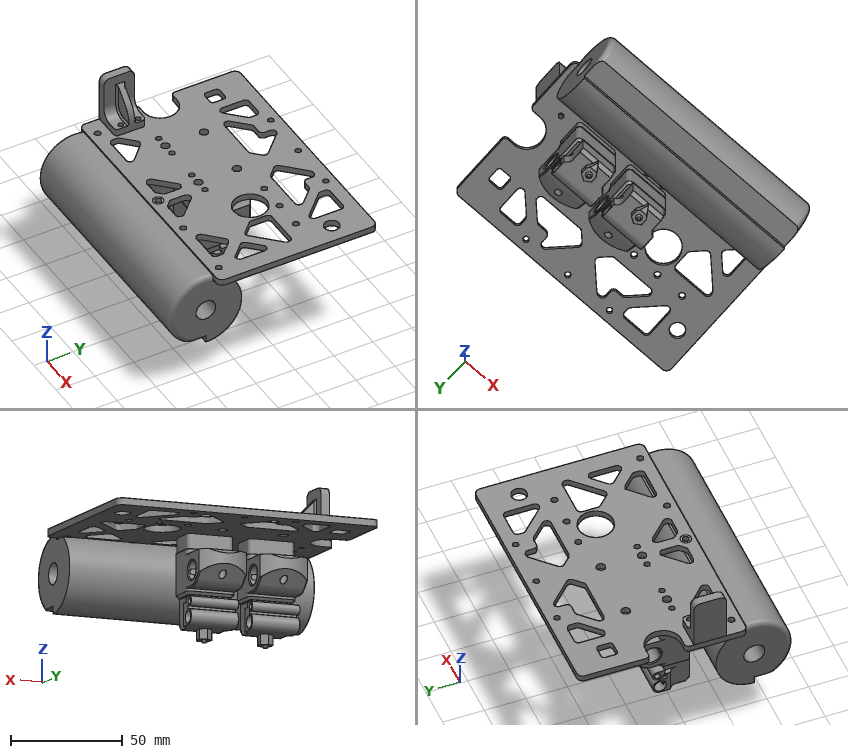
import cadquery as cq
import math


PLATE_X = 127.0
PLATE_Y = 81.3
PLATE_T = 3.2
PLATE_CORNER_R = 3.0
MID_X = PLATE_X / 2
SLOT_R = 2.0
WINDOW_TOP = 74.7
FRONT_WINDOW_Y = 6.1
PORT_Y = 38.5
NOTCH_R = 8.6
NOTCH_CENTER_X = 5.5
NOTCH_MOUTH_R = 1.9
PORT_X = 87.0
PORT_D = 16.6
CORNER_OPENING_Y = 63.2
SQUARE_X = 11.3
SQUARE_SIDE = 7.7
SQUARE_R = 1.5
ROUND_X = 117.2
ROUND_D = 7.4
REAR_HOLE_Y = 76.5
REAR_HOLE_PITCH = 24.9
REAR_HOLE_D = 2.8
SIDE_HOLE_XS = (79.5, 93.5, 108.2)
SIDE_HOLE_Y = 49.9
SIDE_HOLE_D = 3.0
FRONT_HOLE_Y = 4.6
FRONT_HOLE_XS = (8.6, 86.1, PLATE_X - 8.6)
FRONT_HOLE_D = 3.0

BUSHING_D = 5.1
BUSHING_BORE_D = 3.0

ROLLER_X = 2.3
ROLLER_LENGTH = 119.4
ROLLER_R = 18.4
ROLLER_Y = -4.0
ROLLER_Z = -18.7
ROLLER_BORE_D = 10.0
ROLLER_END_R = 2.5
FLAT_OFFSET = 14.9

BRACKET_X = 14.7
BRACKET_Y = 10.3
BRACKET_WIDTH = 15.7
BRACKET_HEIGHT = 24.9
WALL_T = 4.2
FOOT_T = 3.7
WALL_CORNER_R = 3.4
FOOT_CORNER_R = 1.9
BEND_R = 5.5
RIB_Y = 18.8
RIB_T = 3.0
RIB_TOP = 20.1
RIB_NOSE_R = 12.7
RIB_WELD = 0.9
BRACKET_HOLE_X = 12.5
BRACKET_HOLE_SPACING = 8.9
BRACKET_HOLE_D = 2.5

SENSOR_X = 31.2
SENSOR_PITCH = 29.8
SENSOR_COUNT = 2
SENSOR_FRONT = 19.3
CAP_DEPTH = 14.4
CAP_INSET = 0.4
CAP_BOTTOM = -10.2
SENSOR_CORNER_R = 2.0
SENSOR_HALF_X = 11.5
BODY_SETBACK = 0.3
BODY_BACK = 34.0
BODY_BOTTOM = -30.7
BODY_CHAMFER = 1.3
CORE_DEPTH = 12.8
CORE_BOTTOM = -45.0
CORE_CHAMFER = 2.0
CORE_HALF_X = 9.1
TAIL_TOP = -12.7
TAIL_BACK = 50.5
TAIL_END_BULGE = 4.2
TAIL_TOP_CHAMFER = 1.7
BORE_Y = 38.2
BORE_Z = -20.7
BORE_D = 8.8
BORE_CHAMFER = 0.5
BORE_BOSS_R = 7.6
LUG_HOLE_D = 3.3
LUG_CLEARANCE_D = 4.2
LUG_HOLE_Y = TAIL_BACK - TAIL_END_BULGE
MOUNT_Y = 26.5
MOUNT_SPACING = 12.0
MOUNT_CLEARANCE_D = 2.8
PILOT_D = 2.0
PILOT_DEPTH = 5.1
ACCESS_D = 4.1
CLIP_SETBACK = 6.6
CLIP_FRONT_R = 3.8
CLIP_TOP = -34.4
LOOP_LARGE = (34.3, -41.3, 7.4, 6.0)
LOOP_SMALL = (35.7, -34.4, 4.6, 2.8)
DIMPLE_Y = 32.3
DIMPLE_Z = -36.1
DIMPLE_D = 2.5
DIMPLE_DEPTH = 2.5
NUB_HALF_X = 3.0
NUB_SIDE_FRONT = 24.3
NUB_SIDE_BACK = 27.4
NUB_BACK = 29.3
NUB_SLANT = 3.3
NUB_BOTTOM = -49.7
TIP_Y = 25.8
TIP_BOTTOM = -50.8
TIP_TOP_D = 3.0
TIP_END_D = 1.5

MARGIN = 0.1

SENSOR_XS = [SENSOR_X + i * SENSOR_PITCH for i in range(SENSOR_COUNT)]


def box(x0, x1, y0, y1, z0, z1):
    """Block between two limits on each axis."""
    return cq.Workplane("XY").box(x1 - x0, y1 - y0, z1 - z0, centered=False).translate((x0, y0, z0))


def drill(points, diameter, top, depth):
    """Vertical round cutters going down from `top`."""
    return cq.Workplane("XY").workplane(offset=top).pushPoints(points).circle(diameter / 2).extrude(-depth)


def pointed_drill(diameter, depth):
    """Blind drill cutter from the origin down, with a 45 degree point."""
    radius = diameter / 2
    return (
        cq.Workplane("XZ").lineTo(radius, 0).lineTo(radius, radius - depth).lineTo(0, -depth).close()
        .revolve(360, (0, 0, 0), (0, 1, 0))
    )


def rod_x(x0, length, y, z, diameter):
    """Round bar lying along X."""
    return cq.Workplane("YZ").workplane(offset=x0).center(y, z).circle(diameter / 2).extrude(length)


def mirrored(points):
    """Points reflected across the plate's middle line."""
    return [(PLATE_X - x, y) for x, y in points]


def window(points):
    """Cutter for one rounded lightening window."""
    return cq.Workplane("XY").polyline(points).close().extrude(-PLATE_T).edges("|Z").fillet(SLOT_R)


def bracket_hole_points():
    return [(BRACKET_HOLE_X, RIB_Y + s * BRACKET_HOLE_SPACING / 2) for s in (-1, 1)]


def window_outlines():
    waist = 67.8
    low = 56.6
    shoulder = [(67.2, 62.5), (73.0, low), (97.3, low), (97.3, 59.7), (89.2, waist)]
    rear_right = shoulder + [(82.9, waist), (82.9, WINDOW_TOP), (79.4, WINDOW_TOP)]
    rear_left = mirrored(shoulder) + [(44.8, waist), (44.8, 77.5)]
    corner_left = [(20.3, WINDOW_TOP), (32.3, WINDOW_TOP), (32.3, 69.0), (20.3, 57.0)]
    corner_right = [(94.0, WINDOW_TOP), (109.1, WINDOW_TOP), (109.1, 54.7), (94.0, 69.8)]
    kite = [(96.6, 43.0), (117.6, 43.0), (117.6, 39.8), (103.6, 25.8), (96.6, 32.8)]
    triangle = [(118.0, 33.1), (118.0, 11.8), (107.3, 22.5)]
    front_outer = [(16.0, FRONT_WINDOW_Y), (16.0, 11.0), (23.6, 18.7), (33.5, 9.0), (33.5, FRONT_WINDOW_Y)]
    front_inner = [(61.0, 21.6), (61.0, 9.1), (57.9, FRONT_WINDOW_Y), (48.5, FRONT_WINDOW_Y), (48.5, 9.1)]
    return [
        rear_right, rear_left, corner_left, corner_right, kite, triangle,
        front_outer, mirrored(front_outer), front_inner, mirrored(front_inner),
    ]


def make_plate():
    plate = box(0, PLATE_X, 0, PLATE_Y, -PLATE_T, 0).edges("|Z").fillet(PLATE_CORNER_R)

    notch = box(0, NOTCH_CENTER_X, PORT_Y - NOTCH_R, PORT_Y + NOTCH_R, -PLATE_T, 0)
    plate = plate.cut(notch.union(drill([(NOTCH_CENTER_X, PORT_Y)], 2 * NOTCH_R, 0, PLATE_T)))
    mouth = cq.selectors.BoxSelector(
        (-MARGIN, PORT_Y - NOTCH_R - MARGIN, -PLATE_T), (MARGIN, PORT_Y + NOTCH_R + MARGIN, 0)
    )
    plate = plate.edges("|Z").edges(mouth).fillet(NOTCH_MOUTH_R)

    for outline in window_outlines():
        plate = plate.cut(window(outline))
    half = SQUARE_SIDE / 2
    square = box(-half, half, -half, half, -PLATE_T, 0).edges("|Z").fillet(SQUARE_R)
    plate = plate.cut(square.translate((SQUARE_X, CORNER_OPENING_Y, 0)))

    hole_groups = [
        ([(PORT_X, PORT_Y)], PORT_D),
        ([(ROUND_X, CORNER_OPENING_Y)], ROUND_D),
        ([(MID_X + i * REAR_HOLE_PITCH, REAR_HOLE_Y) for i in (-1, 0, 1)], REAR_HOLE_D),
        ([(x, SIDE_HOLE_Y) for x in SIDE_HOLE_XS], SIDE_HOLE_D),
        ([(x, FRONT_HOLE_Y) for x in FRONT_HOLE_XS], FRONT_HOLE_D),
        ([(MID_X, FRONT_HOLE_Y)], BUSHING_D),
        (bracket_hole_points(), BRACKET_HOLE_D),
        ([(x, LUG_HOLE_Y) for x in SENSOR_XS], LUG_CLEARANCE_D),
        ([(x, MOUNT_Y) for x in SENSOR_XS], ACCESS_D),
        ([(x + s * MOUNT_SPACING / 2, MOUNT_Y) for x in SENSOR_XS for s in (-1, 1)], MOUNT_CLEARANCE_D),
    ]
    for points, diameter in hole_groups:
        plate = plate.cut(drill(points, diameter, 0, PLATE_T))
    return plate


def make_bushing():
    return (
        cq.Workplane("XY").center(MID_X, FRONT_HOLE_Y)
        .circle(BUSHING_D / 2).circle(BUSHING_BORE_D / 2).extrude(-PLATE_T)
    )


def make_roller():
    x_end = ROLLER_X + ROLLER_LENGTH
    bottom = ROLLER_Z - ROLLER_R
    step_z = ROLLER_Z - FLAT_OFFSET
    seat_z = ROLLER_Z + FLAT_OFFSET
    front = ROLLER_Y - ROLLER_R
    plain = rod_x(ROLLER_X, ROLLER_LENGTH, ROLLER_Y, ROLLER_Z, 2 * ROLLER_R)
    rounded = plain.faces("<X or >X").edges().fillet(ROLLER_END_R)

    front_zone = box(ROLLER_X, x_end, front, 0, step_z, 0)
    roller = plain.cut(front_zone).union(rounded.intersect(front_zone))
    roller = roller.cut(box(ROLLER_X, x_end, front, ROLLER_Y, bottom, step_z))
    roller = roller.cut(box(ROLLER_X, x_end, 0, PLATE_Y, seat_z, 0))
    return roller.cut(rod_x(ROLLER_X, ROLLER_LENGTH, ROLLER_Y, ROLLER_Z, ROLLER_BORE_D))


def make_bracket():
    y_end = BRACKET_Y + BRACKET_WIDTH
    wall = box(0, WALL_T, BRACKET_Y, y_end, 0, BRACKET_HEIGHT).edges("|X and >Z").fillet(WALL_CORNER_R)
    foot = box(0, BRACKET_X, BRACKET_Y, y_end, 0, FOOT_T).edges("|Z and >X").fillet(FOOT_CORNER_R)
    bracket = wall.union(foot)
    inner = cq.selectors.BoxSelector(
        (WALL_T - MARGIN, BRACKET_Y, FOOT_T - MARGIN), (WALL_T + MARGIN, y_end, FOOT_T + MARGIN)
    )
    bracket = bracket.edges("|Y").edges(inner).fillet(BEND_R)

    nose_x = BRACKET_X - RIB_NOSE_R
    lean = RIB_NOSE_R * math.sqrt(0.5)
    slope_end = nose_x + lean
    slope_end_z = RIB_TOP - (slope_end - WALL_T)
    nose_z = slope_end_z - lean
    mid = math.pi / 8
    flank = RIB_T / 2 + RIB_WELD
    rib = (
        cq.Workplane("XZ", origin=(0, RIB_Y, 0))
        .moveTo(WALL_T / 2, FOOT_T / 2).lineTo(WALL_T / 2, RIB_TOP).lineTo(WALL_T, RIB_TOP)
        .lineTo(slope_end, slope_end_z)
        .threePointArc(
            (nose_x + RIB_NOSE_R * math.cos(mid), nose_z + RIB_NOSE_R * math.sin(mid)), (BRACKET_X, nose_z)
        )
        .lineTo(BRACKET_X, FOOT_T / 2).close().extrude(flank, both=True)
    )

    bend_dip = BEND_R * (1 - math.sqrt(0.5))
    beside = (
        cq.Workplane("XZ", origin=(0, RIB_Y + flank, 0))
        .moveTo(WALL_T, FOOT_T + BEND_R)
        .threePointArc((WALL_T + bend_dip, FOOT_T + bend_dip), (WALL_T + BEND_R, FOOT_T))
        .lineTo(2 * BRACKET_X, FOOT_T).lineTo(2 * BRACKET_X, BRACKET_HEIGHT).lineTo(WALL_T, BRACKET_HEIGHT)
        .close().extrude(RIB_WELD, taper=45)
    )
    rib = rib.cut(beside).cut(beside.mirror("XZ", (0, RIB_Y, 0)))
    bracket = bracket.union(rib)
    return bracket.cut(drill(bracket_hole_points(), BRACKET_HOLE_D, FOOT_T, FOOT_T))


def sensor_tail():
    """Rear lug with the cross bore, rounded below the bore and sloping up to the back."""
    lean = BORE_BOSS_R * math.sqrt(0.5)
    slope_z = BORE_Z - lean + (TAIL_BACK - BORE_Y - lean)
    mid = math.pi * 3 / 8
    start = SENSOR_FRONT + CAP_DEPTH / 2
    tail = (
        cq.Workplane("YZ", origin=(-SENSOR_HALF_X, 0, 0))
        .moveTo(start, TAIL_TOP).lineTo(TAIL_BACK - TAIL_TOP_CHAMFER, TAIL_TOP)
        .lineTo(TAIL_BACK, TAIL_TOP - TAIL_TOP_CHAMFER).lineTo(TAIL_BACK, slope_z)
        .lineTo(BORE_Y + lean, BORE_Z - lean)
        .threePointArc(
            (BORE_Y + BORE_BOSS_R * math.cos(mid), BORE_Z - BORE_BOSS_R * math.sin(mid)),
            (BORE_Y, BORE_Z - BORE_BOSS_R),
        )
        .lineTo(start, BORE_Z - BORE_BOSS_R).close().extrude(2 * SENSOR_HALF_X)
    )
    corner_y = TAIL_BACK - TAIL_END_BULGE
    plan = (
        cq.Workplane("XY").workplane(offset=TAIL_TOP)
        .moveTo(-SENSOR_HALF_X, start).lineTo(SENSOR_HALF_X, start).lineTo(SENSOR_HALF_X, corner_y)
        .threePointArc((0, TAIL_BACK), (-SENSOR_HALF_X, corner_y)).close().extrude(BODY_BOTTOM - TAIL_TOP)
    )
    tail = tail.intersect(plan)
    bore_rims = cq.selectors.BoxSelector(
        (-2 * SENSOR_HALF_X, BORE_Y - BORE_D, BORE_Z - BORE_D),
        (2 * SENSOR_HALF_X, BORE_Y + BORE_D, BORE_Z + BORE_D),
        boundingbox=True,
    )
    bore = rod_x(-SENSOR_HALF_X, 2 * SENSOR_HALF_X, BORE_Y, BORE_Z, BORE_D)
    tail = tail.cut(bore).edges("%CIRCLE").edges(bore_rims).chamfer(BORE_CHAMFER)
    return tail.cut(drill([(0, LUG_HOLE_Y)], LUG_HOLE_D, TAIL_TOP, TAIL_BACK))


def sensor_clip():
    """Two joined loops across the back of the core."""
    core_back = SENSOR_FRONT + CORE_DEPTH
    front = SENSOR_FRONT + CLIP_SETBACK
    width = 2 * SENSOR_HALF_X
    base = box(-SENSOR_HALF_X, SENSOR_HALF_X, front, LOOP_LARGE[0], CORE_BOTTOM, CLIP_TOP)
    neck_top = LOOP_SMALL[1] + LOOP_SMALL[2] / 2
    neck = box(-SENSOR_HALF_X, SENSOR_HALF_X, core_back, LOOP_SMALL[0], CLIP_TOP, neck_top)
    clip = base.union(neck)
    for y, z, outer, _ in (LOOP_LARGE, LOOP_SMALL):
        clip = clip.union(rod_x(-SENSOR_HALF_X, width, y, z, outer))
    for side in (-1, 1):
        center = (side * (CORE_HALF_X + CLIP_FRONT_R), front)
        clip = clip.cut(drill([center], 2 * CLIP_FRONT_R, CLIP_TOP, CLIP_TOP - CORE_BOTTOM))
    for y, z, _, bore in (LOOP_LARGE, LOOP_SMALL):
        clip = clip.cut(rod_x(-SENSOR_HALF_X, width, y, z, bore))
    dimple = pointed_drill(DIMPLE_D, DIMPLE_DEPTH).rotate((0, 0, 0), (0, 1, 0), -90)
    return clip.cut(dimple.translate((-SENSOR_HALF_X, DIMPLE_Y, DIMPLE_Z)))


def sensor_nub():
    """Prow-shaped nub under the core, ending in a small conical tip."""
    outline = [
        (0, SENSOR_FRONT), (NUB_HALF_X, NUB_SIDE_FRONT), (NUB_HALF_X, NUB_SIDE_BACK),
        (0, NUB_BACK), (-NUB_HALF_X, NUB_SIDE_BACK), (-NUB_HALF_X, NUB_SIDE_FRONT),
    ]
    nub = (
        cq.Workplane("XY").workplane(offset=NUB_BOTTOM).polyline(outline).close()
        .extrude(CORE_BOTTOM + CORE_CHAMFER - NUB_BOTTOM)
    )
    wedge = (
        cq.Workplane("YZ").moveTo(SENSOR_FRONT, NUB_BOTTOM).lineTo(SENSOR_FRONT + NUB_SLANT, NUB_BOTTOM)
        .lineTo(SENSOR_FRONT, NUB_BOTTOM + NUB_SLANT).close().extrude(NUB_HALF_X, both=True)
    )
    tip = (
        cq.Workplane("XY", origin=(0, TIP_Y, NUB_BOTTOM)).circle(TIP_TOP_D / 2)
        .workplane(offset=TIP_BOTTOM - NUB_BOTTOM).circle(TIP_END_D / 2).loft()
    )
    return nub.cut(wedge).union(tip)


def make_sensor():
    """Sensor centred on X = 0."""
    cap_half_x = SENSOR_HALF_X - CAP_INSET
    cap = box(-cap_half_x, cap_half_x, SENSOR_FRONT, SENSOR_FRONT + CAP_DEPTH, CAP_BOTTOM, -PLATE_T)
    cap = cap.edges("|Z").fillet(SENSOR_CORNER_R)
    body_front = SENSOR_FRONT + BODY_SETBACK
    body = box(-SENSOR_HALF_X, SENSOR_HALF_X, body_front, BODY_BACK, BODY_BOTTOM, CAP_BOTTOM)
    body = body.edges("|Z").fillet(SENSOR_CORNER_R).faces("<Z").edges().chamfer(BODY_CHAMFER)
    core_back = SENSOR_FRONT + CORE_DEPTH
    core_top = BODY_BOTTOM + BODY_CHAMFER
    core = box(-CORE_HALF_X, CORE_HALF_X, SENSOR_FRONT, core_back, CORE_BOTTOM, core_top)
    core = core.edges("<Y and <Z").chamfer(CORE_CHAMFER)
    sensor = cap.union(body).union(core).union(sensor_tail()).union(sensor_clip()).union(sensor_nub())
    pilot = pointed_drill(PILOT_D, PILOT_DEPTH)
    for side in (-1, 1):
        sensor = sensor.cut(pilot.translate((side * MOUNT_SPACING / 2, MOUNT_Y, -PLATE_T)))
    return sensor


plate = make_plate()
bushing = make_bushing()
roller = make_roller()
bracket = make_bracket()
sensor = make_sensor()
sensors = [sensor.translate((x, 0, 0)).val() for x in SENSOR_XS]

result = cq.Compound.makeCompound([plate.val(), bushing.val(), roller.val(), bracket.val(), *sensors])